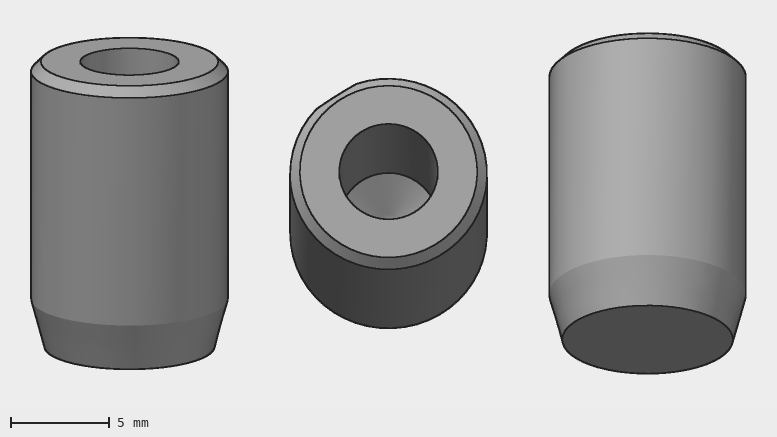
import cadquery as cq
import math

body_diameter = 10.0
body_height = 15.0
top_chamfer = 0.5
taper_height = 2.5
taper_angle = 15.0

flat_distance = 4.85

hole_diameter = 5.0
hole_depth = 10.0
drill_point_angle = 118.0

body_radius = body_diameter / 2
bottom_radius = body_radius - taper_height * math.tan(math.radians(taper_angle))
hole_radius = hole_diameter / 2
drill_point_height = hole_radius / math.tan(math.radians(drill_point_angle / 2))


def revolve_about_z(points):
    """Revolve a closed (radius, height) outline about the Z axis."""
    return cq.Workplane("XZ").polyline(points).close().revolve(360, (0, 0), (0, 1))


def make_body():
    """Round body with a chamfered top and a tapered lower end."""
    return revolve_about_z([
        (0, 0),
        (bottom_radius, 0),
        (body_radius, taper_height),
        (body_radius, body_height - top_chamfer),
        (body_radius - top_chamfer, body_height),
        (0, body_height),
    ])


def make_hole():
    """Blind hole ending in a conical drill point."""
    hole_bottom = body_height - hole_depth
    return revolve_about_z([
        (0, hole_bottom - drill_point_height),
        (hole_radius, hole_bottom),
        (hole_radius, body_height),
        (0, body_height),
    ])


def make_flat_cutter():
    """Block covering everything beyond the flat on the +Y side."""
    return cq.Workplane("XY").box(
        body_diameter, body_radius, body_height, centered=(True, False, False)
    ).translate((0, flat_distance, 0))


result = make_body().cut(make_hole()).cut(make_flat_cutter())